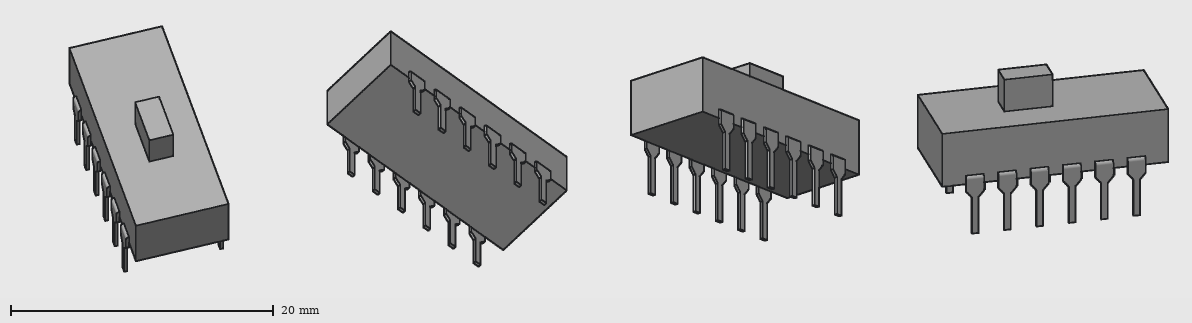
import cadquery as cq
import math

BODY_LENGTH = 17.78
BODY_WIDTH = 7.36
BODY_HEIGHT = 4.45

ACTUATOR_LENGTH = 3.8
ACTUATOR_WIDTH = 1.9
ACTUATOR_HEIGHT = 2.67
ACTUATOR_OFFSET = 1.39

WIDTH_OVER_PINS = 7.85
PIN_COUNT = 6
PIN_PITCH = 2.55
PIN_THICKNESS = (WIDTH_OVER_PINS - BODY_WIDTH) / 2
PAD_WIDTH = 1.4
LEG_WIDTH = 0.52

PAD_TOP = 0.73
TAPER_TOP = -0.55
TAPER_BOTTOM = -1.07
PIN_TIP = -4.07


def make_body():
    return cq.Workplane("XY").box(BODY_LENGTH, BODY_WIDTH, BODY_HEIGHT, centered=(True, True, False))


def make_actuator():
    return (
        cq.Workplane("XY", origin=(ACTUATOR_OFFSET, 0, BODY_HEIGHT))
        .box(ACTUATOR_LENGTH, ACTUATOR_WIDTH, ACTUATOR_HEIGHT, centered=(True, True, False))
    )


def make_front_pin():
    """Wide pad tapering to a narrow leg, lying against the -Y side of the housing."""
    half_pad = PAD_WIDTH / 2
    half_leg = LEG_WIDTH / 2
    right_side = [
        (half_leg, PIN_TIP),
        (half_leg, TAPER_BOTTOM),
        (half_pad, TAPER_TOP),
        (half_pad, PAD_TOP),
    ]
    left_side = [(-x, z) for x, z in reversed(right_side)]
    inner_face = -BODY_WIDTH / 2
    outer_face = inner_face - PIN_THICKNESS
    front_shape = (
        cq.Workplane("XZ", origin=(0, inner_face, 0))
        .polyline(right_side + left_side)
        .close()
        .extrude(PIN_THICKNESS)
    )
    arc_start_height = PAD_TOP - PIN_THICKNESS
    arc_middle = (
        inner_face - PIN_THICKNESS * math.sin(math.pi / 4),
        arc_start_height + PIN_THICKNESS * math.sin(math.pi / 4),
    )
    side_shape = (
        cq.Workplane("YZ")
        .moveTo(inner_face, PIN_TIP)
        .lineTo(outer_face, PIN_TIP)
        .lineTo(outer_face, arc_start_height)
        .threePointArc(arc_middle, (inner_face, PAD_TOP))
        .close()
        .extrude(half_pad, both=True)
    )
    return front_shape.intersect(side_shape)


result = make_body().union(make_actuator())

front_pin = make_front_pin()
back_pin = front_pin.mirror("XZ")
for index in range(PIN_COUNT):
    pin_x = (index - (PIN_COUNT - 1) / 2) * PIN_PITCH
    for pin in (front_pin, back_pin):
        result = result.union(pin.translate((pin_x, 0, 0)))